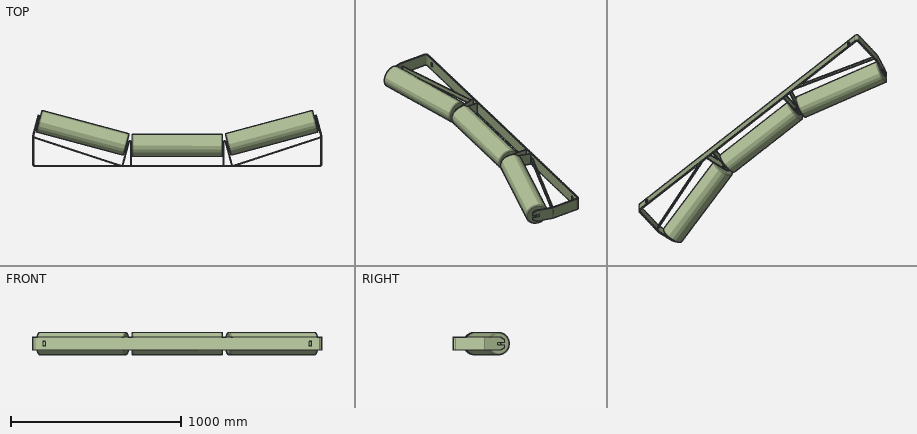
import cadquery as cq
import math

frame_length = 1700.0
bar_width = 76.0
frame_thickness = 8.0
frame_bend_radius = 15.0

trough_angle = 15.0
roller_length = 532.0
roller_diameter = 133.0
rim_radius = 6.0
axle_diameter = 22.0
axle_flat_width = 15.0
middle_clearance = 4.2
side_clearance = 7.0

bracket_thickness = 5.0
crest_inner_radius = 3.0
crest_height = 145.0
axle_drop = 19.0
middle_axle_height = 125.0

tip_above_axle = 32.0
tip_chamfer_length = 24.0
tip_chamfer_width = 15.0

bolt_slot_width = 15.0
bolt_slot_length = 27.0
bolt_slot_x = 782.0

strut_width = 30.0
strut_thickness = 5.0
strut_top_height = 175.0
strut_foot_x = 332.0

sin_tilt = math.sin(math.radians(trough_angle))
cos_tilt = math.cos(math.radians(trough_angle))
half_frame = frame_length / 2
half_roller = roller_length / 2
crest_outer_radius = crest_inner_radius + bracket_thickness
crest_x = half_roller + middle_clearance + crest_outer_radius

side_roller_start = crest_outer_radius + side_clearance
side_roller_middle = side_roller_start + half_roller
end_leg_inner = side_roller_start + roller_length + side_clearance
end_leg_outer = end_leg_inner + frame_thickness

middle_axle_length = roller_length + 2 * (middle_clearance + bracket_thickness)
side_axle_inner = half_roller + side_clearance + bracket_thickness
side_axle_outer = half_roller + side_clearance + frame_thickness


def tilted(along, up):
    """Point at distances along the side roller axis and up its legs from the crest bend centre."""
    x = crest_x + along * cos_tilt - up * sin_tilt
    y = crest_height + along * sin_tilt + up * cos_tilt
    return (x, y)


def tilted_at_x(along, x):
    """Point on the leg face at the given distance along the axis that has this X."""
    up = (crest_x + along * cos_tilt - x) / sin_tilt
    return tilted(along, up)


def tilted_at_y(along, y):
    """Point on the leg face at the given distance along the axis that has this Y."""
    up = (y - crest_height - along * sin_tilt) / cos_tilt
    return tilted(along, up)


def mirror_x(point):
    return (-point[0], point[1])


def bar(outline, width):
    """Extrude a closed XY outline to a bar centred on Z = 0."""
    return outline.close().extrude(width / 2, both=True)


def place_on_side(body):
    """Move a body built along X at the origin onto the +X side roller axis."""
    x, y = tilted(side_roller_middle, -axle_drop)
    return body.rotate((0, 0, 0), (0, 0, 1), trough_angle).translate((x, y, 0))


def axle(start, length):
    """Round axle along X with a flat on its top and its bottom."""
    round_bar = cq.Workplane("YZ").workplane(offset=start).circle(axle_diameter / 2).extrude(length)
    flats = cq.Workplane("XY").box(length, axle_diameter, axle_flat_width, centered=(False, True, True))
    return round_bar.intersect(flats.translate((start, 0, 0)))


def axle_slot(start, length, depth):
    """Seat for an axle, open toward +Y over the given depth."""
    entry = cq.Workplane("XY").box(length, depth, axle_flat_width, centered=(False, False, True))
    return axle(start, length).union(entry.translate((start, 0, 0)))


def roller(axle_start, axle_length):
    left_end = cq.Workplane("YZ").workplane(offset=-half_roller)
    shell = left_end.circle(roller_diameter / 2).extrude(roller_length)
    shell = shell.faces("<X or >X").edges().fillet(rim_radius)
    return shell.union(axle(axle_start, axle_length))


middle_roller = roller(-middle_axle_length / 2, middle_axle_length).translate((0, middle_axle_height, 0))
right_roller = place_on_side(roller(-side_axle_inner, side_axle_inner + side_axle_outer))
side_rollers = [right_roller, right_roller.mirror("YZ")]


def frame():
    tip = tip_above_axle - axle_drop
    right_outline = [
        (half_frame, 0),
        tilted_at_x(end_leg_outer, half_frame),
        tilted(end_leg_outer, tip),
        tilted(end_leg_inner, tip),
        tilted_at_x(end_leg_inner, half_frame - frame_thickness),
        (half_frame - frame_thickness, frame_thickness),
    ]
    left_outline = [mirror_x(point) for point in reversed(right_outline)]
    body = bar(cq.Workplane("XY").polyline(right_outline + left_outline), bar_width)

    bend_inner = frame_bend_radius - frame_thickness
    inner_x = half_frame - frame_thickness
    for side in (-1, 1):
        outer_corner = cq.selectors.NearestToPointSelector((side * half_frame, 0, 0))
        body = body.edges("|Z").edges(outer_corner).fillet(frame_bend_radius)
        inner_corner = cq.selectors.NearestToPointSelector((side * inner_x, frame_thickness, 0))
        body = body.edges("|Z").edges(inner_corner).fillet(bend_inner)

    seat = place_on_side(axle_slot(half_roller, side_clearance + frame_thickness, 2 * tip_above_axle))
    for cut in (tip_corner_cuts(), seat):
        body = body.cut(cut).cut(cut.mirror("YZ"))

    bolt_slots = (
        cq.Workplane("XZ")
        .pushPoints([(-bolt_slot_x, 0), (bolt_slot_x, 0)])
        .slot2D(bolt_slot_length, bolt_slot_width, 90)
        .extrude(-frame_thickness)
    )
    return body.cut(bolt_slots)


def tip_corner_cuts():
    """Triangular prisms that chamfer both corners of the +X end leg tip."""
    half_width = bar_width / 2
    cuts = cq.Workplane("XY")
    for side in (-1, 1):
        corner = [
            (tip_above_axle, side * half_width),
            (tip_above_axle - tip_chamfer_length, side * half_width),
            (tip_above_axle, side * (half_width - tip_chamfer_width)),
        ]
        prism = cq.Workplane("YZ").workplane(offset=half_roller).polyline(corner).close()
        cuts = cuts.add(prism.extrude(side_clearance + frame_thickness))
    return place_on_side(cuts.combine())


def bracket():
    outline = (
        cq.Workplane("XY")
        .moveTo(crest_x - crest_outer_radius, frame_thickness)
        .lineTo(crest_x - crest_outer_radius, crest_height)
        .threePointArc((crest_x, crest_height + crest_outer_radius), tilted(crest_outer_radius, 0))
        .lineTo(*tilted_at_y(crest_outer_radius, frame_thickness))
        .lineTo(*tilted_at_y(crest_inner_radius, frame_thickness))
        .lineTo(*tilted(crest_inner_radius, 0))
        .threePointArc(
            (crest_x, crest_height + crest_inner_radius),
            (crest_x - crest_inner_radius, crest_height),
        )
        .lineTo(crest_x - crest_inner_radius, frame_thickness)
    )
    body = bar(outline, bar_width)
    return body.cut(middle_roller).cut(right_roller)


right_bracket = bracket()
brackets = [right_bracket, right_bracket.mirror("YZ")]


def strut():
    leg_x = half_frame - frame_thickness
    slope = math.atan2(strut_top_height - frame_thickness, leg_x - strut_foot_x)
    outline = cq.Workplane("XY").polyline([
        (leg_x, strut_top_height),
        (strut_foot_x, frame_thickness),
        (strut_foot_x + strut_thickness / math.sin(slope), frame_thickness),
        (leg_x, strut_top_height - strut_thickness / math.cos(slope)),
    ])
    return bar(outline, strut_width)


right_strut = strut()
struts = [right_strut, right_strut.mirror("YZ")]

bodies = [frame(), middle_roller, *side_rollers, *brackets, *struts]
result = cq.Compound.makeCompound([body.val() for body in bodies])